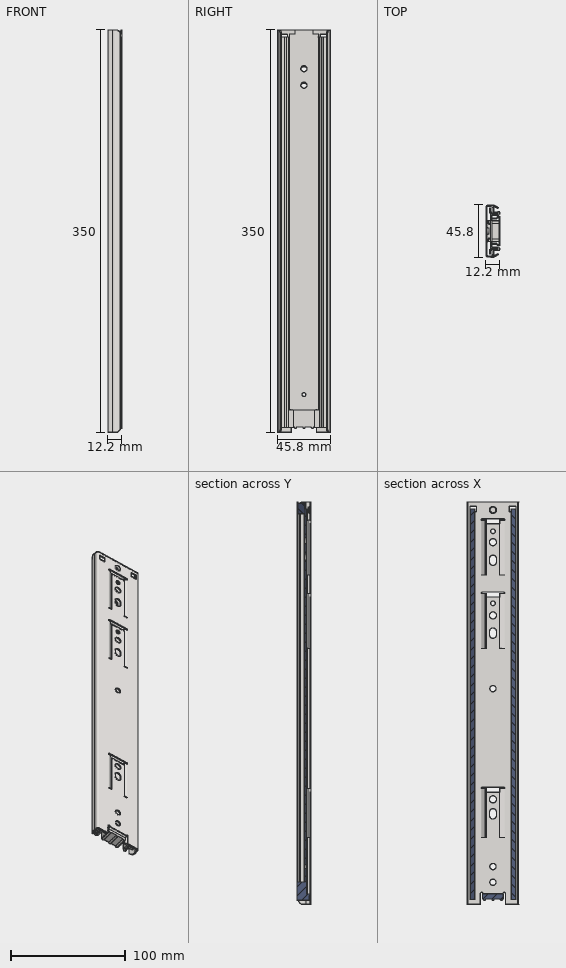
import cadquery as cq
import math

length = 350.0
half_width = 22.92
depth = 12.2
sheet = 1.0

corner_radius = 1.8
race_radius = 3.5
race_x = 5.5
race_y = half_width - race_radius
race_bulge = 0.5
flange_y = half_width - race_bulge
lip_angle = math.radians(29)
lip_end_x = 11.0
lip_cut_x = 8.5

slot_inner_y, slot_outer_y = 14.5, 20.0
slot_bottom, slot_top = 341.5, 346.0
notch_half_width = 11.0
notch_height = 9.5
notch_relief_radius = 1.0
dimple_z = 343.0
dimple_radius = 2.5
dimple_tip_radius = 1.5
dimple_height = 1.8
tab_half_width = 6.82
tab_gap = 4.2
window_half_width = 10.0
window_corner = 1.0
wing_angle = math.radians(33)
wing_bend_radius = 1.68
wing_tip_y = 5.78
tab_windows = [(286.3, 335.3), (222.5, 271.5), (58.0, 102.0)]
mount_diameter = 6.0
mount_holes = [315.0, 251.3, 91.5]
slot_length = 8.8
mount_slots = [299.2, 236.0, 78.8]
pilot_diameter = 4.0
pilot_holes = [324.5, 261.8]
web_hole_diameter = 5.2
web_holes = [187.5, 33.0, 19.2]

middle_bottom, middle_top = 4.2, 344.0
middle_front, middle_wall = 4.0, 1.5
middle_half_width = 15.0
middle_flange_end = 10.0
middle_lip_x, middle_lip_y = 12.0, 16.98

inner_half_width = 12.5
inner_step = 1.0
inner_step_start, inner_step_end = 10.0, 9.0
inner_flange_end = 6.12
inner_tongue_half_width = 7.7
inner_shoulder = 346.5

shared_holes = [(316.5, 5.2), (302.0, 5.2), (33.0, 3.0)]

cage_inner_y = 15.8
cage_wall = 0.88
cage_front, cage_back = 2.98, 9.8
cage_plate_y = 20.0
ball_front, ball_back, ball_y = 5.2, 7.0, 20.5

block_front = middle_front + middle_wall
block_half_width = 6.5
block_bottom, block_top = 339.5, 349.0
bumper_bottom, bumper_top = 4.5, 19.5
bumper_half_width = 9.0
bumper_ramp_bottom, bumper_ramp_top = 7.5, 9.0
bumper_step = 1.5
tooth_radius = 1.0
tooth_spacing = 7.5


def box(x0, x1, y0, y1, z0, z1):
    return cq.Workplane("XY").box(x1 - x0, y1 - y0, z1 - z0, centered=False).translate((x0, y0, z0))


def both_sides(half):
    """Join a half section with its mirror image across the XZ plane."""
    return half.union(half.mirror("XZ"))


def cross_holes(heights, diameter):
    """Cylinders along X through the full depth, on the centre line."""
    return (
        cq.Workplane("YZ")
        .pushPoints([(0, z) for z in heights])
        .circle(diameter / 2)
        .extrude(depth)
    )


def on_race(radius, angle):
    """Point on an arc about the race axis, with the angle measured from +Y towards +X."""
    return (race_x + radius * math.sin(angle), race_y + radius * math.cos(angle))


def outer_channel():
    """C section: rounded corner, straight flange, bulged race and a lip sloping inwards."""
    inside = race_radius - sheet
    start_outside = -math.acos((flange_y - race_y) / race_radius)
    start_inside = -math.acos((flange_y - sheet - race_y) / inside)
    lip_start = on_race(race_radius, lip_angle)
    lip_end = (lip_end_x, lip_start[1] - (lip_end_x - lip_start[0]) * math.tan(lip_angle))
    lip_end_inside = (lip_end[0] - sheet * math.sin(lip_angle), lip_end[1] - sheet * math.cos(lip_angle))
    corner_cut = corner_radius * (1 - math.sqrt(0.5))
    inner_cut = (corner_radius - sheet) * (1 - math.sqrt(0.5))
    half = (
        cq.Workplane("XY")
        .lineTo(0, flange_y - corner_radius)
        .threePointArc((corner_cut, flange_y - corner_cut), (corner_radius, flange_y))
        .lineTo(*on_race(race_radius, start_outside))
        .threePointArc(on_race(race_radius, 0), lip_start)
        .lineTo(*lip_end)
        .lineTo(*lip_end_inside)
        .lineTo(*on_race(inside, lip_angle))
        .threePointArc(on_race(inside, 0), on_race(inside, start_inside))
        .lineTo(corner_radius, flange_y - sheet)
        .threePointArc(
            (sheet + inner_cut, flange_y - sheet - inner_cut), (sheet, flange_y - corner_radius)
        )
        .lineTo(sheet, 0)
        .close()
        .extrude(length)
    )
    return both_sides(half)


def lip_corner_cuts():
    """Triangles taking the sharp corners off the lips at both ends of the channel."""
    reach = depth - lip_cut_x
    bottom = (
        cq.Workplane("XZ", origin=(0, half_width, 0))
        .polyline([(lip_cut_x, 0), (depth, 0), (depth, reach)])
        .close()
        .extrude(2 * half_width)
    )
    return bottom.union(bottom.mirror("XY").translate((0, 0, length)))


def wing(bottom, top):
    """Strip of the web bent inwards along one side of a tab window."""
    def bend(radius, angle):
        """Point on an arc about the bend axis, turning from the web into the wing."""
        return (
            wing_bend_radius - radius * math.cos(angle),
            window_half_width - radius * math.sin(angle),
        )

    inside = wing_bend_radius - sheet
    bend_end = bend(wing_bend_radius, wing_angle)
    tip = (bend_end[0] + (bend_end[1] - wing_tip_y) * math.tan(wing_angle), wing_tip_y)
    tip_inside = (tip[0] + sheet / math.cos(wing_angle), wing_tip_y)
    return (
        cq.Workplane("XY", origin=(0, 0, bottom))
        .moveTo(*bend(wing_bend_radius, 0))
        .threePointArc(bend(wing_bend_radius, wing_angle / 2), bend_end)
        .lineTo(*tip)
        .lineTo(*tip_inside)
        .lineTo(*bend(inside, wing_angle))
        .threePointArc(bend(inside, wing_angle / 2), bend(inside, 0))
        .close()
        .extrude(top - bottom)
    )


def add_tab(rail, bottom, top):
    """Open a window in the web, leaving a flat tab hinged at the bottom between two wings."""
    window = box(0, sheet, -window_half_width, window_half_width, bottom, top)
    window = window.edges("|X and >Z").fillet(window_corner)
    tab = box(0, sheet, -tab_half_width, tab_half_width, bottom, top - tab_gap)
    wings = both_sides(wing(bottom, top - window_corner))
    return rail.cut(window).union(tab).union(wings)


def dimple():
    """Hollow cone pressed into the web from outside."""
    def cone(grow, height):
        """Cone tapering along +X, widened all round by `grow`."""
        return (
            cq.Workplane("YZ", origin=(0, 0, dimple_z))
            .circle(dimple_radius + grow)
            .workplane(offset=height)
            .circle(dimple_tip_radius + grow)
            .loft()
        )

    return cone(sheet, dimple_height + sheet), cone(0, dimple_height)


def end_notch():
    """Notch in the bottom edge of the web, with a round relief in each upper corner."""
    notch = box(0, sheet, -notch_half_width, notch_half_width, 0, notch_height)
    relief_y = notch_half_width - notch_relief_radius
    reliefs = (
        cq.Workplane("YZ")
        .pushPoints([(side * relief_y, notch_height) for side in (-1, 1)])
        .circle(notch_relief_radius)
        .extrude(sheet)
    )
    return notch.union(reliefs)


def make_outer_rail():
    rail = outer_channel().cut(lip_corner_cuts())
    slot = box(0, sheet, slot_inner_y, slot_outer_y, slot_bottom, slot_top)
    rail = rail.cut(slot).cut(slot.mirror("XZ"))
    rail = rail.cut(end_notch())
    for bottom, top in tab_windows:
        rail = add_tab(rail, bottom, top)
    boss, hollow = dimple()
    rail = rail.union(boss).cut(hollow)
    rail = rail.cut(cross_holes(mount_holes, mount_diameter))
    rail = rail.cut(cross_holes(pilot_holes, pilot_diameter))
    rail = rail.cut(cross_holes(web_holes, web_hole_diameter))
    slots = (
        cq.Workplane("YZ")
        .pushPoints([(0, z) for z in mount_slots])
        .slot2D(slot_length, mount_diameter, 90)
        .extrude(sheet)
    )
    return rail.cut(slots)


def cut_shared_holes(rail):
    for height, diameter in shared_holes:
        rail = rail.cut(cross_holes([height], diameter))
    return rail


def make_middle_rail():
    """Channel open towards +X whose flanges end in lips flared outwards to the full depth."""
    back = middle_front + middle_wall
    inside_y = middle_half_width - middle_wall
    half = (
        cq.Workplane("XY", origin=(0, 0, middle_bottom))
        .moveTo(middle_front, 0)
        .lineTo(middle_front, middle_half_width)
        .lineTo(middle_flange_end, middle_half_width)
        .lineTo(middle_lip_x - middle_wall, middle_lip_y)
        .lineTo(middle_lip_x, middle_lip_y)
        .lineTo(depth, middle_half_width)
        .lineTo(middle_flange_end + middle_wall / 2, inside_y)
        .lineTo(back, inside_y)
        .lineTo(back, 0)
        .close()
        .extrude(middle_top - middle_bottom)
    )
    bumper_opening = box(0, back, -bumper_half_width, bumper_half_width, 0, bumper_top)
    return cut_shared_holes(both_sides(half).cut(bumper_opening))


def make_inner_rail():
    """Channel open towards -X, nested in the middle rail, with stepped flanges."""
    step_y = inner_half_width - inner_step
    half = (
        cq.Workplane("XY", origin=(0, 0, bumper_top))
        .moveTo(depth, 0)
        .lineTo(depth, inner_half_width)
        .lineTo(inner_step_start, inner_half_width)
        .lineTo(inner_step_end, step_y)
        .lineTo(inner_flange_end, step_y)
        .lineTo(inner_flange_end, step_y - sheet)
        .lineTo(inner_step_end, step_y - sheet)
        .lineTo(inner_step_start, inner_half_width - sheet)
        .lineTo(depth - sheet, inner_half_width - sheet)
        .lineTo(depth - sheet, 0)
        .close()
        .extrude(length - bumper_top)
    )
    shoulder = box(0, depth, inner_tongue_half_width, half_width, inner_shoulder, length)
    rail = both_sides(half).cut(shoulder).cut(shoulder.mirror("XZ"))
    return cut_shared_holes(rail)


def make_ball_cage(side):
    """Strip with a plate, an arm and a ball track; side is +1 or -1 along Y."""
    arm_y = cage_inner_y + cage_wall
    plate_back = cage_front + cage_wall
    bottom, top = middle_bottom, middle_top
    cage = box(cage_front, cage_back, cage_inner_y, arm_y, bottom, top)
    cage = cage.union(box(cage_front, plate_back, cage_inner_y, cage_plate_y, bottom, top))
    cage = cage.union(box(ball_front, ball_back, cage_inner_y, ball_y, bottom, top))
    return cage if side > 0 else cage.mirror("XZ")


def make_end_block():
    """Plain block between the webs of the middle and inner rails, at the top."""
    return box(
        block_front, depth - sheet, -block_half_width, block_half_width, block_bottom, block_top
    )


def make_bumper():
    """Block closing the bottom end, with a ramped nose in the web's notch and three teeth below."""
    bumper = (
        cq.Workplane("XZ", origin=(0, bumper_half_width, 0))
        .polyline(
            [
                (middle_front, bumper_top),
                (depth, bumper_top),
                (depth, bumper_bottom),
                (bumper_step, bumper_bottom),
                (bumper_step, bumper_ramp_bottom),
                (0, bumper_ramp_top),
                (middle_front, bumper_ramp_top),
            ]
        )
        .close()
        .extrude(2 * bumper_half_width)
    )
    teeth = (
        cq.Workplane("YZ", origin=(bumper_step, 0, 0))
        .pushPoints([(i * tooth_spacing, bumper_bottom) for i in (-1, 0, 1)])
        .circle(tooth_radius)
        .extrude(depth - bumper_step)
    )
    return bumper.union(teeth)


outer_rail = make_outer_rail()
middle_rail = make_middle_rail()
inner_rail = make_inner_rail()
ball_cages = [make_ball_cage(side) for side in (1, -1)]
end_block = make_end_block()
bumper = make_bumper()

result = cq.Compound.makeCompound(
    [
        outer_rail.val(),
        middle_rail.val(),
        inner_rail.val(),
        *[cage.val() for cage in ball_cages],
        end_block.val(),
        bumper.val(),
    ]
)